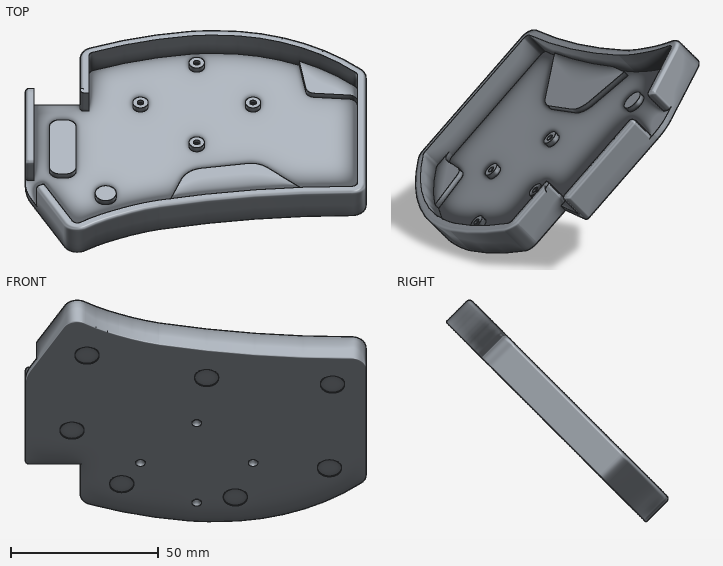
import cadquery as cq
import math

TILT = -45.0

HEIGHT = 11.3
WALL = 3.0
FLOOR = 2.5
CORNER_R = 5.0
BLUNT_CORNER_R = 16.7
BASE_FILLET = 0.5
RIM_FILLET = 1.4

LEFT = -58.1
RIGHT = LEFT + 115.4
STEP_X = -39.5
STEP_Y = 0.8
BACK_LEFT = (STEP_X, 18.8)
BACK_CREST_START = (-2.5, 28.0)
BACK_CREST_END = (6.7, 28.4)
BACK_RIGHT = (RIGHT, 8.3)
FRONT_RIGHT = (RIGHT, -50.0)
FRONT_BEND_START = (-12.7, -56.6)
FRONT_BEND_END = (-26.3, -61.0)
FRONT_LEFT = (-42.1, -69.7)
DIAGONAL_TOP = (LEFT, -40.5)

BACK_LEFT_R = 143.1
BACK_CREST_R = 79.6
BACK_RIGHT_R = 72.4
FRONT_RIGHT_R = 326.7
FRONT_BEND_R = 80.8
FRONT_LEFT_R = 62.9

GAP_LEFT_END = -35.4
GAP_SETBACK = 6.8

BOSS_REACH = 19.0
BOSS_CENTERS = ((BOSS_REACH, 0), (-BOSS_REACH, 0), (0, BOSS_REACH), (0, -BOSS_REACH))
BOSS_D = 5.2
BOSS_HEIGHT = 2.0
PILOT_D = 2.2
SCREW_D = 3.2
SCREW_DEPTH = 3.3

PAD_HEIGHT = BOSS_HEIGHT
ROUND_PAD_D = 7.2
ROUND_PAD_CENTER = (-30.8, -43.4)
LONG_PAD_WIDTH = 9.1
LONG_PAD_LENGTH = 25.9
LONG_PAD_R = 3.5
LONG_PAD_CENTER = (-45.4, -21.2)
FRONT_PAD_CORNERS = ((-3.5, -32.2), (21.0, -28.6))
FRONT_PAD_FEET = ((-10.9, -51.4), (47.3, -51.4))
FRONT_PAD_R = 8.5
BACK_PAD_CORNER = (37.3, 4.6)
BACK_PAD_TOP = (34.0, 23.7)
BACK_PAD_WALL_CORNER = (RIGHT - WALL, 3.3)
BACK_PAD_R = 3.0

FOOT_D = 8.2
FOOT_DEPTH = 0.5
FOOT_CENTERS = (
    (-37.2, -51.4),
    (3.3, -40.6),
    (45.9, -37.5),
    (-42.2, -15.5),
    (44.9, 2.5),
    (-25.4, 10.2),
    (13.0, 16.5),
)


def round_corner(body, corner, radius):
    """Fillet the upright edge nearest to a plan position."""
    nearest = cq.selectors.NearestToPointSelector((*corner, HEIGHT / 2))
    return body.edges("|Z").edges(nearest).fillet(radius)


def prism(points, bottom, height):
    """Upright prism over a plan polygon."""
    return cq.Workplane("XY", origin=(0, 0, bottom)).polyline(points).close().extrude(height)


def discs(centers, diameter, bottom, height):
    """Equal upright cylinders at the given plan positions."""
    plane = cq.Workplane("XY", origin=(0, 0, bottom))
    return plane.pushPoints(centers).circle(diameter / 2).extrude(height)


def along_diagonal(distance, inward):
    """Plan point at a distance down the diagonal side, moved inward from it."""
    dx = FRONT_LEFT[0] - DIAGONAL_TOP[0]
    dy = FRONT_LEFT[1] - DIAGONAL_TOP[1]
    length = math.hypot(dx, dy)
    return (
        DIAGONAL_TOP[0] + (distance * dx - inward * dy) / length,
        DIAGONAL_TOP[1] + (distance * dy + inward * dx) / length,
    )


def outer_block():
    """Solid block with the rounded outline of the case."""
    block = (
        cq.Workplane("XY")
        .moveTo(LEFT, STEP_Y)
        .lineTo(STEP_X, STEP_Y)
        .lineTo(*BACK_LEFT)
        .radiusArc(BACK_CREST_START, BACK_LEFT_R)
        .radiusArc(BACK_CREST_END, BACK_CREST_R)
        .radiusArc(BACK_RIGHT, BACK_RIGHT_R)
        .lineTo(*FRONT_RIGHT)
        .radiusArc(FRONT_BEND_START, -FRONT_RIGHT_R)
        .radiusArc(FRONT_BEND_END, -FRONT_BEND_R)
        .radiusArc(FRONT_LEFT, -FRONT_LEFT_R)
        .lineTo(*DIAGONAL_TOP)
        .close()
        .extrude(HEIGHT)
    )
    for corner in (BACK_LEFT, BACK_RIGHT, FRONT_RIGHT, FRONT_LEFT):
        block = round_corner(block, corner, CORNER_R)
    return round_corner(block, DIAGONAL_TOP, BLUNT_CORNER_R)


def inner_prism(block):
    """Space inside the walls, from the floor to the rim."""
    outline = block.faces("<Z").val().outerWire()
    inside = cq.Workplane("XY").add(outline).toPending().offset2D(-WALL, "intersection")
    return inside.extrude(HEIGHT - FLOOR).translate((0, 0, FLOOR))


def step_opening():
    """Wall to remove along the back edge of the cut-away corner."""
    front = STEP_Y - WALL
    left = LEFT + WALL
    corners = [(left, front), (STEP_X, front), (STEP_X, STEP_Y), (left, STEP_Y)]
    return prism(corners, FLOOR, HEIGHT - FLOOR)


def cable_gap():
    """Wall to remove around the blunt corner, ending square to the wall on both sides."""
    reach = 2 * WALL
    corners = [
        (LEFT - reach, GAP_LEFT_END),
        (LEFT + reach, GAP_LEFT_END),
        along_diagonal(GAP_SETBACK, reach),
        along_diagonal(GAP_SETBACK, -reach),
    ]
    return prism(corners, FLOOR, HEIGHT - FLOOR)


def walls_and_floor(block, interior):
    """Open tray with rounded base, rim and wall ends."""
    tray = round_corner(block, (LEFT, STEP_Y), RIM_FILLET)
    tray = tray.faces("<Z").edges().fillet(BASE_FILLET)
    tray = tray.faces(">Z").edges().fillet(RIM_FILLET)
    tray = tray.cut(interior).cut(step_opening()).cut(cable_gap())
    wall_ends = (
        (LEFT, GAP_LEFT_END),
        along_diagonal(GAP_SETBACK, 0),
        (STEP_X, STEP_Y - WALL),
    )
    for wall_end in wall_ends:
        tray = round_corner(tray, wall_end, RIM_FILLET)
    return tray


def front_pad():
    """Pad that runs into the front wall."""
    foot_left, foot_right = FRONT_PAD_FEET
    pad = prism([foot_left, *FRONT_PAD_CORNERS, foot_right], FLOOR, PAD_HEIGHT)
    for corner in FRONT_PAD_CORNERS:
        pad = round_corner(pad, corner, FRONT_PAD_R)
    return pad


def back_pad():
    """Pad that fills the back right corner and flares forward along the right wall."""
    flare_end = BACK_PAD_WALL_CORNER[1] - 2 * BACK_PAD_R
    corners = [
        BACK_PAD_TOP,
        BACK_PAD_CORNER,
        BACK_PAD_WALL_CORNER,
        (BACK_PAD_WALL_CORNER[0], flare_end),
        (RIGHT, flare_end),
        (RIGHT, BACK_PAD_TOP[1]),
    ]
    pad = prism(corners, FLOOR, PAD_HEIGHT)
    for corner in (BACK_PAD_CORNER, BACK_PAD_WALL_CORNER):
        pad = round_corner(pad, corner, BACK_PAD_R)
    return pad


def long_pad():
    plane = cq.Workplane("XY", origin=(*LONG_PAD_CENTER, FLOOR))
    pad = plane.rect(LONG_PAD_WIDTH, LONG_PAD_LENGTH).extrude(PAD_HEIGHT)
    return pad.edges("|Z").fillet(LONG_PAD_R)


block = outer_block()
interior = inner_prism(block)
tray = walls_and_floor(block, interior)

for wall_pad in (front_pad(), back_pad()):
    tray = tray.union(wall_pad.intersect(interior))
tray = tray.union(long_pad())
tray = tray.union(discs([ROUND_PAD_CENTER], ROUND_PAD_D, FLOOR, PAD_HEIGHT))

tray = tray.union(discs(BOSS_CENTERS, BOSS_D, FLOOR, BOSS_HEIGHT))
tray = tray.cut(discs(BOSS_CENTERS, PILOT_D, 0, FLOOR + BOSS_HEIGHT))
tray = tray.cut(discs(BOSS_CENTERS, SCREW_D, 0, SCREW_DEPTH))
tray = tray.cut(discs(FOOT_CENTERS, FOOT_D, 0, FOOT_DEPTH))

result = tray.rotate((0, 0, 0), (1, 0, 0), TILT)